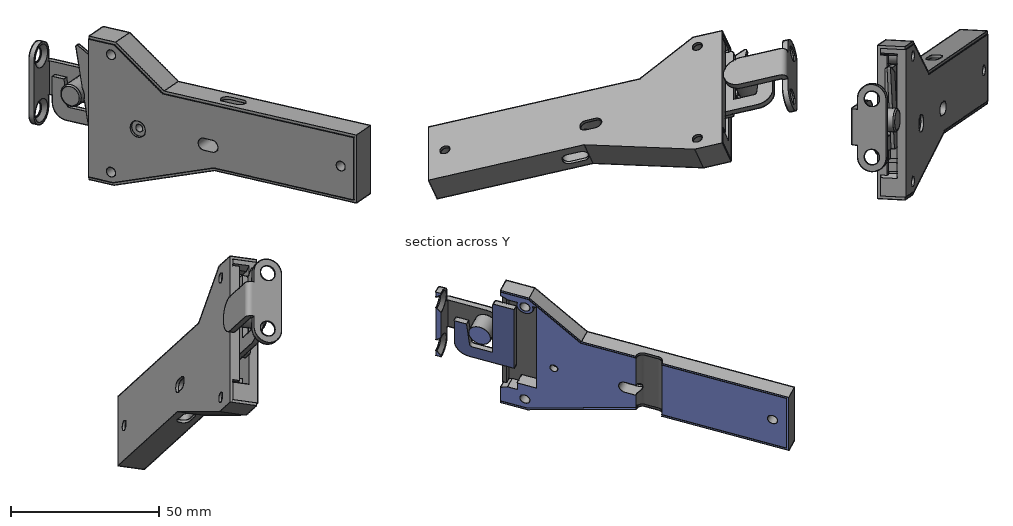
import cadquery as cq
import math


CASE_LENGTH = 104.35
CASE_BACK = 10.0
HEAD_HEIGHT = 52.7
HANDLE_HEIGHT = 25.0
UPPER_SLOPE_START = 10.4
UPPER_SLOPE_END = 29.35
LOWER_SLOPE_START = 9.8
LOWER_SLOPE_END = 49.0
WALL = 1.0
CORE_PROUD = 0.4
CORE_BACK = CASE_BACK - WALL

SCREW_DIAMETER = 3.5
SCREW_BOSS_DIAMETER = 6.0
HEAD_SCREW_X = 8.85
HEAD_SCREW_Z = 21.55
END_SCREW_X = 98.45
SCREW_POINTS = [(HEAD_SCREW_X, HEAD_SCREW_Z), (HEAD_SCREW_X, -HEAD_SCREW_Z), (END_SCREW_X, 0.0)]
PIVOT_X = 19.3
PIVOT_Z = -3.5
PIVOT_RECESS_DIAMETER = 5.9
PIVOT_RECESS_DEPTH = 1.0
PIVOT_BORE_DIAMETER = 2.7
PIVOT_BORE_DEPTH = 6.0
FACE_SLOT_X = 46.7
FACE_SLOT_LENGTH = 7.7
EDGE_SLOT_X = 53.7
EDGE_SLOT_LENGTH = 9.3
SLOT_WIDTH = 4.4

POCKET_FRONT = 3.15
POCKET_MOUTH_TOP = 23.75
POCKET_MOUTH_BOTTOM = -19.05
POCKET_TAPER_LENGTH = 2.6
POCKET_TAPER_RISE = 1.15
POCKET_STEP_X = 6.0
POCKET_STEP_Z = -14.85
POCKET_DEPTH = 13.0
TONGUE_THICKNESS = 1.5
TONGUE_TOP = 23.05
TONGUE_BOTTOM = -18.15

LEVER_FRONT = 3.5
HOOK_FRONT = 4.7
HOOK_BACK = 6.6
LATCH_INNER_END = 5.0

HOOK_LEFT = -16.8
HOOK_BOTTOM = -8.65
HOOK_TOP = 19.05
PRONG_TOP = 6.35
PRONG_TIP_RIGHT = -12.2
MOUTH_FLOOR = -3.65
MOUTH_LEFT = -11.0
MOUTH_RIGHT = -2.9
HOOK_HEEL_RADIUS = 5.5
HOOK_CORNER_RADIUS = 1.0

LEVER_ANGLE = 10.0
LEVER_WIDTH = 5.0
LEVER_TOP_LEFT_X = -7.15
LEVER_TOP = 21.0
LEVER_TIP_DROP = 3.2
LEVER_CORNER_RADIUS = 0.6

BRACKET_LEFT = -23.5
BRACKET_BACK = 13.0
BRACKET_THICKNESS = 2.0
BRACKET_Z = 2.5
BEND_RADIUS = 2.0
PLATE_HEIGHT = 30.0
PLATE_WIDTH = 10.0
PLATE_Y = 5.5
PLATE_HOLE_DIAMETER = 5.3
COUNTERSINK_DIAMETER = 8.3
COUNTERSINK_DEPTH = 1.5
FLANGE_WIDTH = 12.4
PIN_X = -7.55
PIN_DIAMETER = 8.0
PIN_FRONT = 0.9
PIN_CHAMFER = 0.5


def along_y(y):
    """Sketch plane at depth y whose local axes are X and Z; extrude() goes toward -Y."""
    return cq.Workplane("XZ", origin=(0, y, 0))


def box(x0, x1, y0, y1, z0, z1):
    return cq.Workplane("XY").box(x1 - x0, y1 - y0, z1 - z0, centered=False).translate((x0, y0, z0))


def case_profile(y):
    """Outline of the case: tall head narrowing to the handle."""
    return along_y(y).polyline([
        (0, HEAD_HEIGHT / 2),
        (UPPER_SLOPE_START, HEAD_HEIGHT / 2),
        (UPPER_SLOPE_END, HANDLE_HEIGHT / 2),
        (CASE_LENGTH, HANDLE_HEIGHT / 2),
        (CASE_LENGTH, -HANDLE_HEIGHT / 2),
        (LOWER_SLOPE_END, -HANDLE_HEIGHT / 2),
        (LOWER_SLOPE_START, -HEAD_HEIGHT / 2),
        (0, -HEAD_HEIGHT / 2),
    ]).close()


def core_block():
    """Block filling the case inside its rim and reaching the latch-end face."""
    inner = case_profile(CORE_BACK).offset2D(-WALL, "intersection").extrude(CORE_BACK)
    half_height = HEAD_HEIGHT / 2 - WALL
    return inner.union(box(0, 2 * WALL, 0, CORE_BACK, -half_height, half_height))


def screw_cylinders(diameter, y_front, y_back):
    return along_y(y_back).pushPoints(SCREW_POINTS).circle(diameter / 2).extrude(y_back - y_front)


def case_slots():
    """Slot through both broad faces and slot through both long edges."""
    face_slot = (
        along_y(CASE_BACK).center(FACE_SLOT_X, PIVOT_Z)
        .slot2D(FACE_SLOT_LENGTH, SLOT_WIDTH).extrude(CASE_BACK)
    )
    edge_slot = (
        cq.Workplane("XY", origin=(EDGE_SLOT_X, CASE_BACK / 2, -HANDLE_HEIGHT / 2))
        .slot2D(EDGE_SLOT_LENGTH, SLOT_WIDTH).extrude(HANDLE_HEIGHT)
    )
    return face_slot.union(edge_slot)


def make_housing():
    """Thin tray around the core, open at the front and at the latch end."""
    tray = case_profile(CASE_BACK).extrude(CASE_BACK - CORE_PROUD).cut(core_block())
    tongue = box(0, TONGUE_THICKNESS, HOOK_BACK, CORE_BACK, TONGUE_BOTTOM, TONGUE_TOP)
    housing = tray.union(tongue)
    return housing.cut(screw_cylinders(SCREW_DIAMETER, 0, CASE_BACK)).cut(case_slots())


def latch_pocket():
    """Pocket open at the latch end, tapering inward, with the screw boss left standing in it."""
    floor = POCKET_MOUTH_BOTTOM + POCKET_TAPER_RISE
    ceiling = POCKET_MOUTH_TOP - POCKET_TAPER_RISE
    pocket = along_y(CORE_BACK).polyline([
        (0, POCKET_MOUTH_TOP),
        (POCKET_TAPER_LENGTH, ceiling),
        (POCKET_DEPTH, ceiling),
        (POCKET_DEPTH, POCKET_STEP_Z),
        (POCKET_STEP_X, POCKET_STEP_Z),
        (POCKET_STEP_X, floor),
        (POCKET_TAPER_LENGTH, floor),
        (0, POCKET_MOUTH_BOTTOM),
    ]).close().extrude(CORE_BACK - POCKET_FRONT)
    return pocket.cut(screw_cylinders(SCREW_BOSS_DIAMETER, POCKET_FRONT, CORE_BACK))


def pivot_bore(diameter, depth):
    return along_y(depth).center(PIVOT_X, PIVOT_Z).circle(diameter / 2).extrude(depth)


def make_core():
    """Solid insert filling the housing, pocketed for the latch parts."""
    core = core_block().cut(latch_pocket())
    core = core.cut(screw_cylinders(SCREW_DIAMETER, 0, CORE_BACK)).cut(case_slots())
    core = core.cut(pivot_bore(PIVOT_RECESS_DIAMETER, PIVOT_RECESS_DEPTH))
    return core.cut(pivot_bore(PIVOT_BORE_DIAMETER, PIVOT_RECESS_DEPTH + PIVOT_BORE_DEPTH))


def pin_cylinder():
    return (
        along_y(BRACKET_BACK - BRACKET_THICKNESS).center(PIN_X, BRACKET_Z).circle(PIN_DIAMETER / 2)
        .extrude(BRACKET_BACK - BRACKET_THICKNESS - PIN_FRONT)
    )


def make_hook():
    """J-shaped hook whose mouth holds the pin."""
    hook = along_y(HOOK_BACK).polyline([
        (HOOK_LEFT, HOOK_BOTTOM),
        (LATCH_INNER_END, HOOK_BOTTOM),
        (LATCH_INNER_END, HOOK_TOP),
        (MOUTH_RIGHT, HOOK_TOP),
        (MOUTH_RIGHT, MOUTH_FLOOR),
        (MOUTH_LEFT, MOUTH_FLOOR),
        (PRONG_TIP_RIGHT, PRONG_TOP),
        (HOOK_LEFT, PRONG_TOP),
    ]).close().extrude(HOOK_BACK - HOOK_FRONT)

    def corner(x, z):
        mid_y = (HOOK_FRONT + HOOK_BACK) / 2
        return cq.selectors.NearestToPointSelector((x, mid_y, z))

    hook = hook.edges(corner(HOOK_LEFT, HOOK_BOTTOM)).fillet(HOOK_HEEL_RADIUS)
    for x, z in [(MOUTH_RIGHT, HOOK_TOP), (MOUTH_LEFT, MOUTH_FLOOR)]:
        hook = hook.edges(corner(x, z)).fillet(HOOK_CORNER_RADIUS)
    return hook.cut(pin_cylinder())


def make_lever():
    """Leaning flat bar in front of the hook, relieved where the pin passes it."""
    lean = math.tan(math.radians(LEVER_ANGLE))
    span = LEVER_WIDTH / math.cos(math.radians(LEVER_ANGLE))
    shoulder = LEVER_TOP - LEVER_TIP_DROP

    def left_edge(z):
        return LEVER_TOP_LEFT_X + lean * (LEVER_TOP - z)

    lever = along_y(HOOK_FRONT).polyline([
        (left_edge(LEVER_TOP), LEVER_TOP),
        (left_edge(shoulder) + span, shoulder),
        (left_edge(HOOK_BOTTOM) + span, HOOK_BOTTOM),
        (left_edge(HOOK_BOTTOM), HOOK_BOTTOM),
    ]).close().extrude(HOOK_FRONT - LEVER_FRONT)
    lever = lever.edges("|Y").fillet(LEVER_CORNER_RADIUS)
    return lever.cut(pin_cylinder())


def countersunk_hole(z):
    """Screw hole through the bracket plate, widening toward +X."""
    back_x = BRACKET_LEFT + BRACKET_THICKNESS
    cone_x = back_x - COUNTERSINK_DEPTH
    return cq.Workplane("XY", origin=(0, PLATE_Y, z)).transformed(rotate=(90, 0, 0)).polyline([
        (BRACKET_LEFT, 0),
        (BRACKET_LEFT, PLATE_HOLE_DIAMETER / 2),
        (cone_x, PLATE_HOLE_DIAMETER / 2),
        (back_x, COUNTERSINK_DIAMETER / 2),
        (back_x, 0),
    ]).close().revolve(360, (0, 0, 0), (1, 0, 0))


def make_bracket():
    """Angle bracket with a round-ended plate, a rounded flange and the pin on the flange."""
    plate_outline = cq.Workplane("YZ", origin=(BRACKET_LEFT, PLATE_Y, BRACKET_Z))
    plate = plate_outline.slot2D(PLATE_HEIGHT, PLATE_WIDTH, 90).extrude(BRACKET_THICKNESS)
    hole_offset = (PLATE_HEIGHT - PLATE_WIDTH) / 2
    half_flange = FLANGE_WIDTH / 2
    flange_front = BRACKET_BACK - BRACKET_THICKNESS
    z_low = BRACKET_Z - half_flange
    z_high = BRACKET_Z + half_flange
    strap = box(BRACKET_LEFT, PIN_X, flange_front, BRACKET_BACK, z_low, z_high)
    web = box(BRACKET_LEFT, BRACKET_LEFT + BRACKET_THICKNESS, PLATE_Y, BRACKET_BACK, z_low, z_high)
    bend = strap.union(web).edges("|Z and <X and >Y").fillet(BEND_RADIUS)
    round_end = along_y(BRACKET_BACK).center(PIN_X, BRACKET_Z).circle(half_flange).extrude(BRACKET_THICKNESS)
    pin = pin_cylinder().faces("<Y").chamfer(PIN_CHAMFER)
    bracket = plate.union(bend).union(round_end).union(pin)
    for z_offset in (-hole_offset, hole_offset):
        bracket = bracket.cut(countersunk_hole(BRACKET_Z + z_offset))
    return bracket


housing = make_housing()
core = make_core()
hook = make_hook()
lever = make_lever()
bracket = make_bracket()

result = cq.Compound.makeCompound([
    housing.val(),
    core.val(),
    hook.val(),
    lever.val(),
    bracket.val(),
])